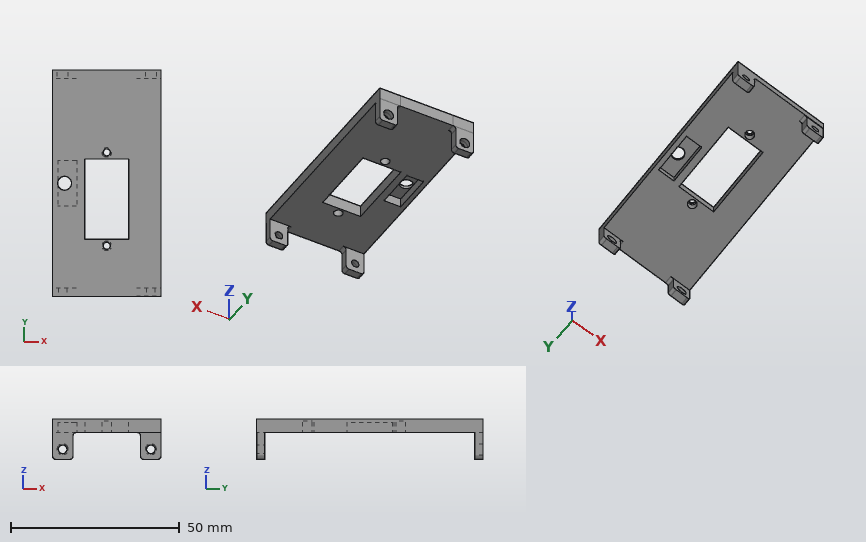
import cadquery as cq

length = 67.2
width = 32.2
height = 12.0
plate_thickness = 4.0
plate_bottom = height - plate_thickness

leg_width = 6.1
leg_thickness = 2.55
corner_radius = 1.0
leg_hole_inset = 3.0
leg_hole_height = 3.0
front_hole_diameter = 2.5
back_hole_diameter = 3.3
leg_recess = 0.15

window_width = 13.0
window_length = 23.7
window_y = -4.7
screw_pitch = 27.7
screw_diameter = 2.0
screw_clearance_diameter = 2.8
screw_skin_thickness = 0.7

side_hole_diameter = 4.0
side_hole_x = -12.5

skin_thickness = 1.0
pocket_left = -14.5
pocket_right = -8.8
pocket_length = 13.45
pocket_depth = plate_thickness - skin_thickness

legs = [
    (-1, -1, front_hole_diameter, 0.0),
    (1, -1, front_hole_diameter, leg_recess),
    (-1, 1, back_hole_diameter, 0.0),
    (1, 1, back_hole_diameter, 0.0),
]


def make_leg(side, end, hole_diameter, setback):
    """Leg with rounded feet, a fillet under the plate and a hole along Y."""
    outer = side * width / 2
    inner = outer - side * leg_width
    depth = leg_thickness - setback
    middle_y = end * (length / 2 - setback - depth / 2)
    r = corner_radius

    leg = (
        cq.Workplane("XZ", origin=(0, middle_y, 0))
        .moveTo(outer - side * r, 0)
        .radiusArc((outer, r), -side * r)
        .lineTo(outer, height)
        .lineTo(inner - side * r, height)
        .lineTo(inner - side * r, plate_bottom)
        .radiusArc((inner, plate_bottom - r), side * r)
        .lineTo(inner, r)
        .radiusArc((inner + side * r, 0), -side * r)
        .close()
        .extrude(depth / 2, both=True)
    )
    hole = (
        cq.Workplane("XZ", origin=(0, middle_y, 0))
        .center(outer - side * leg_hole_inset, leg_hole_height)
        .circle(hole_diameter / 2)
        .extrude(leg_thickness, both=True)
    )
    return leg.cut(hole)


def make_screw_clearances(points):
    """Wider bores from below, leaving a skin, in line with the screw holes."""
    return (
        cq.Workplane("XY", origin=(0, 0, plate_bottom))
        .pushPoints(points)
        .circle(screw_clearance_diameter / 2)
        .extrude(plate_thickness - screw_skin_thickness)
    )


def make_pocket():
    """Rectangular hollow in the underside that the side hole opens into."""
    return (
        cq.Workplane("XY", origin=(0, 0, plate_bottom))
        .center((pocket_left + pocket_right) / 2, 0)
        .rect(pocket_right - pocket_left, pocket_length)
        .extrude(pocket_depth)
    )


def make_plate():
    """Flat plate with the window, its screw holes and the side hole."""
    plate = cq.Workplane("XY", origin=(0, 0, plate_bottom))
    plate = plate.rect(width, length).extrude(plate_thickness)
    top = plate.faces(">Z").workplane(origin=(0, 0, height))
    plate = top.center(0, window_y).rect(window_width, window_length).cutThruAll()
    screw_points = [(0, window_y + end * screw_pitch / 2) for end in (-1, 1)]
    top = plate.faces(">Z").workplane(origin=(0, 0, height))
    plate = top.pushPoints(screw_points).hole(screw_diameter)
    plate = plate.cut(make_screw_clearances(screw_points))
    top = plate.faces(">Z").workplane(origin=(0, 0, height))
    plate = top.center(side_hole_x, 0).hole(side_hole_diameter)
    return plate.cut(make_pocket())


result = make_plate()
for leg_sizes in legs:
    result = result.union(make_leg(*leg_sizes))